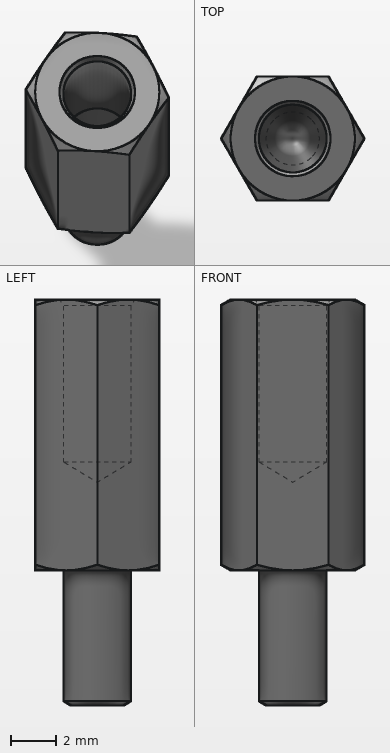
import cadquery as cq
import math

total_length = 18.0
across_flats = 5.5
stud_length = 6.0
stud_diameter = 3.0
stud_chamfer_height = 0.2
stud_chamfer_width = 0.32
corner_chamfer_angle = 30.0
bore_diameter = 3.0
bore_depth = 7.2
drill_point_angle = 118.0
countersink_diameter = 3.35
countersink_angle = 68.0

body_length = total_length - stud_length
across_corners = across_flats / math.cos(math.radians(30))
corner_drop = (across_corners - across_flats) / 2 * math.tan(math.radians(corner_chamfer_angle))
bore_radius = bore_diameter / 2
countersink_radius = countersink_diameter / 2
countersink_depth = (countersink_radius - bore_radius) / math.tan(math.radians(countersink_angle / 2))
drill_point_height = bore_radius / math.tan(math.radians(drill_point_angle / 2))


def revolve_profile(points):
    """Revolve a closed (radius, height) profile about the Z axis."""
    return cq.Workplane("XZ").polyline(points).close().revolve(360, (0, 0, 0), (0, 1, 0))


def hex_body():
    """Hexagonal bar with its corners turned down to a cone at both ends."""
    bar = cq.Workplane("XY").workplane(offset=stud_length).polygon(6, across_corners).extrude(body_length)
    face_radius = across_flats / 2
    corner_radius = across_corners / 2
    turned_envelope = revolve_profile([
        (0, stud_length),
        (face_radius, stud_length),
        (corner_radius, stud_length + corner_drop),
        (corner_radius, total_length - corner_drop),
        (face_radius, total_length),
        (0, total_length),
    ])
    return bar.intersect(turned_envelope)


def stud():
    """Round stud below the body, chamfered at its free end."""
    stud_radius = stud_diameter / 2
    return revolve_profile([
        (0, 0),
        (stud_radius - stud_chamfer_width, 0),
        (stud_radius, stud_chamfer_height),
        (stud_radius, stud_length),
        (0, stud_length),
    ])


def bore():
    """Countersunk blind hole with a conical drill point."""
    bore_floor = total_length - bore_depth
    return revolve_profile([
        (0, total_length),
        (countersink_radius, total_length),
        (bore_radius, total_length - countersink_depth),
        (bore_radius, bore_floor),
        (0, bore_floor - drill_point_height),
    ])


result = hex_body().union(stud()).cut(bore())